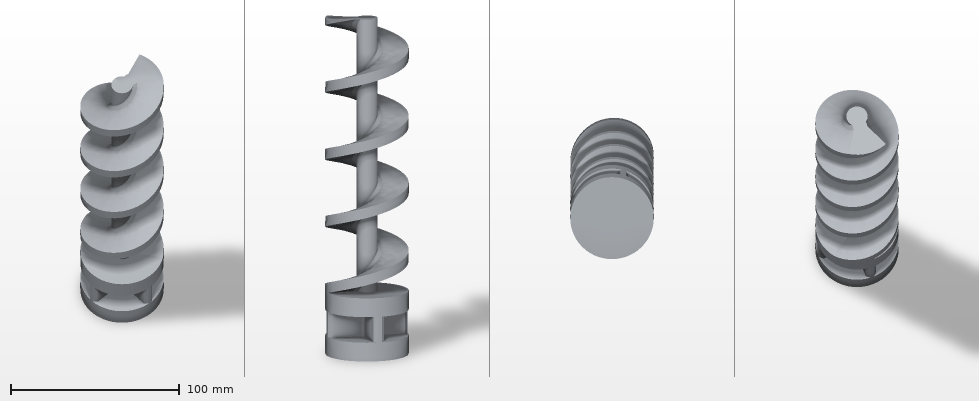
import cadquery as cq
import math

total_height = 203.2
outer_diameter = 49.5
outer_radius = outer_diameter / 2

base_height = 38.2
disc_thickness = 11.4
socket_depth = base_height - disc_thickness
web_thickness = 6.5
web_tip_chamfer = 2.0

shaft_diameter = 12.5
shaft_radius = shaft_diameter / 2

pitch = 40.6
flight_thickness = 6.3
root_radius = 9.0
root_flare = 1.5
flight_end_angle = 57.0


def cylinder(radius, bottom, height):
    """Solid cylinder on the Z axis."""
    return cq.Workplane("XY").workplane(offset=bottom).circle(radius).extrude(height)


def make_web_cross(height):
    """Four webs along X and Y, with chamfered tips that end on the rim of the discs."""
    web = cq.Workplane("XY").rect(outer_diameter, web_thickness).extrude(height)
    web = web.edges("|Z").chamfer(web_tip_chamfer)
    crossing_web = web.rotate((0, 0, 0), (0, 0, 1), 90)
    envelope = cylinder(outer_radius, 0, height)
    return web.union(crossing_web).intersect(envelope)


def make_base():
    """Two discs with the webs between them, bored for the shaft down to the lower disc."""
    lower_disc = cylinder(outer_radius, 0, disc_thickness)
    upper_disc = cylinder(outer_radius, base_height - disc_thickness, disc_thickness)
    cross = make_web_cross(socket_depth - disc_thickness).translate((0, 0, disc_thickness))
    socket = cylinder(shaft_radius, disc_thickness, socket_depth)
    return lower_disc.union(cross).union(upper_disc).cut(socket)


def make_flight():
    """Right-handed helical blade, cut level at the base and at the top of the shaft."""
    flight_length = total_height - base_height
    turns = math.ceil(flight_length / pitch) + 1
    start_height = total_height - pitch * (turns - 1) - pitch * flight_end_angle / 360
    half = flight_thickness / 2
    core_radius = shaft_radius / 2
    flare_slope = root_flare / (root_radius - shaft_radius)
    core_half = half + flare_slope * (root_radius - core_radius)
    profile = (
        cq.Workplane("XZ")
        .polyline([
            (core_radius, -core_half),
            (root_radius, -half),
            (outer_radius, -half),
            (outer_radius, half),
            (root_radius, half),
            (core_radius, core_half),
        ])
        .close()
    )
    helix = cq.Wire.makeHelix(pitch, pitch * turns, outer_radius)
    blade = profile.sweep(cq.Workplane(helix), isFrenet=True)
    blade = blade.translate((0, 0, start_height - half))
    length_limit = cylinder(outer_diameter, base_height, flight_length)
    bore = cylinder(shaft_radius, base_height, flight_length)
    return blade.intersect(length_limit).cut(bore)


def make_auger():
    """Shaft with its flight; the lower end of the shaft fills the socket in the base."""
    shaft = cylinder(shaft_radius, disc_thickness, total_height - disc_thickness)
    return shaft.union(make_flight(), clean=False)


base = make_base()
auger = make_auger()

result = cq.Compound.makeCompound([base.solids().val(), auger.solids().val()])